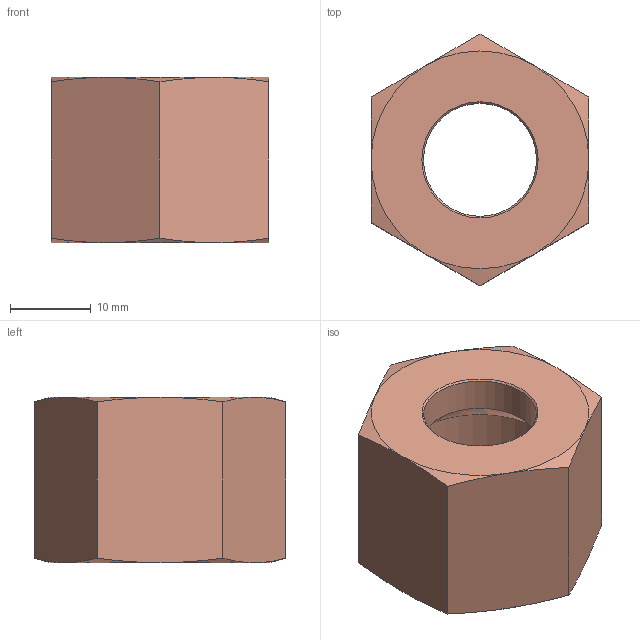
import math

import cadquery as cq

across_flats = 27.0
height = 20.5
across_corners = across_flats / math.cos(math.radians(30))
corner_chamfer_angle = 15.0

bore_diameter = 14.0
bore_chamfer = 0.2
thread_core_length = 13.0
cone_half_angle = 45.0
thread_core_diameter = 20.38


def hexagon_body():
    """Hexagonal prism with two corners on the Y axis."""
    return (
        cq.Workplane("XY")
        .polygon(6, across_corners)
        .extrude(height)
        .rotate((0, 0, 0), (0, 0, 1), 90)
    )


def corner_chamfer_envelope():
    """Turned blank whose shallow end cones cut back the hexagon corners."""
    flat_radius = across_flats / 2
    corner_radius = across_corners / 2
    corner_drop = (corner_radius - flat_radius) * math.tan(math.radians(corner_chamfer_angle))
    profile = [
        (0, 0),
        (flat_radius, 0),
        (corner_radius, corner_drop),
        (corner_radius, height - corner_drop),
        (flat_radius, height),
        (0, height),
    ]
    return cq.Workplane("XZ").polyline(profile).close().revolve(360, (0, 0, 0), (0, 1, 0))


def stepped_bore():
    """Chamfered tube bore that opens through a cone into the thread core."""
    bore_radius = bore_diameter / 2
    core_radius = thread_core_diameter / 2
    cone_length = (core_radius - bore_radius) / math.tan(math.radians(cone_half_angle))
    cone_top = thread_core_length + cone_length
    profile = [
        (0, 0),
        (core_radius, 0),
        (core_radius, thread_core_length),
        (bore_radius, cone_top),
        (bore_radius, height - bore_chamfer),
        (bore_radius + bore_chamfer, height),
        (0, height),
    ]
    return cq.Workplane("XZ").polyline(profile).close().revolve(360, (0, 0, 0), (0, 1, 0))


result = hexagon_body().intersect(corner_chamfer_envelope()).cut(stepped_bore())